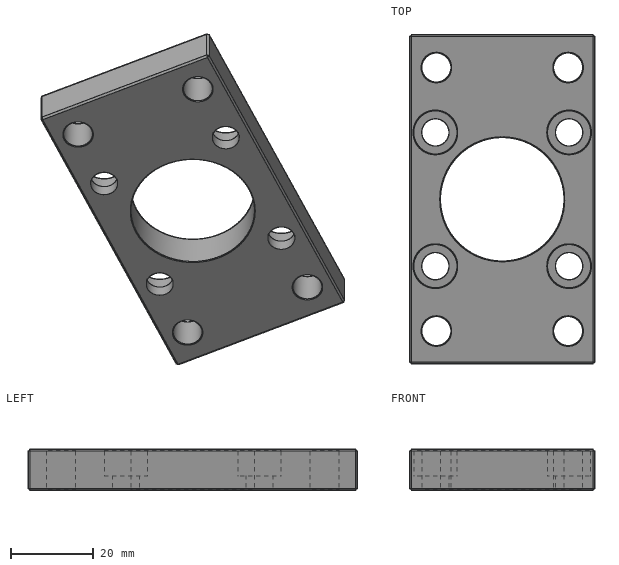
import cadquery as cq

width = 45.0
length = 80.0
thickness = 10.0
edge_chamfer = 0.5

bore_diameter = 30.0
rim_chamfer = 0.2

corner_hole_diameter = 7.0
corner_spacing_x = 32.0
corner_spacing_y = 64.0

screw_spacing = 32.5
screw_hole_diameter = 6.6
counterbore_diameter = 10.5
counterbore_depth = 6.5

top = thickness / 2


def rectangle_corners(spacing_x, spacing_y):
    """Four points of a rectangle centred on the plate."""
    return [(sx * spacing_x / 2, sy * spacing_y / 2) for sx in (-1, 1) for sy in (-1, 1)]


def drill(diameter, points):
    """Cylinders through the full plate thickness."""
    return (
        cq.Workplane("XY", origin=(0, 0, -top))
        .pushPoints(points)
        .circle(diameter / 2)
        .extrude(thickness)
    )


def rim_countersinks(diameter, points, face_z, inward):
    """Cones that bevel hole rims; inward is the Z direction into the plate."""
    rim_radius = diameter / 2 + rim_chamfer
    cone = cq.Solid.makeCone(
        rim_radius, diameter / 2, rim_chamfer, cq.Vector(0, 0, face_z), cq.Vector(0, 0, inward)
    )
    return cq.Workplane("XY").pushPoints(points).eachpoint(lambda place: cone.moved(place))


def chamfered_hole(body, diameter, points):
    """Through holes bevelled at both faces."""
    body = body.cut(drill(diameter, points))
    body = body.cut(rim_countersinks(diameter, points, top, -1))
    return body.cut(rim_countersinks(diameter, points, -top, 1))


result = cq.Workplane("XY").box(width, length, thickness).edges().chamfer(edge_chamfer)

result = chamfered_hole(result, bore_diameter, [(0, 0)])
result = chamfered_hole(result, corner_hole_diameter, rectangle_corners(corner_spacing_x, corner_spacing_y))

screw_points = rectangle_corners(screw_spacing, screw_spacing)
result = result.cut(drill(screw_hole_diameter, screw_points))
result = result.cut(drill(counterbore_diameter, screw_points).translate((0, 0, thickness - counterbore_depth)))
result = result.cut(rim_countersinks(counterbore_diameter, screw_points, top, -1))